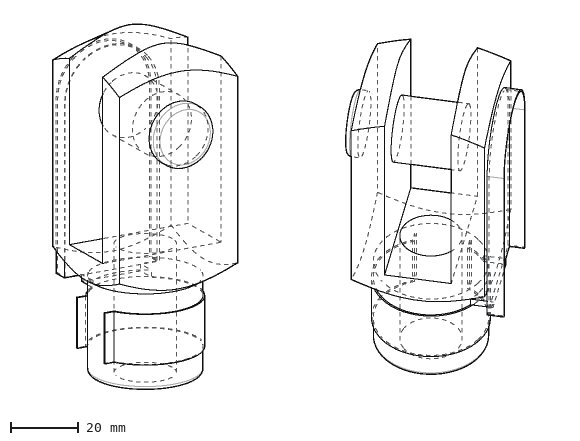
import cadquery as cq
import math


height = 105.0
fork_width = 40.0
slot_width = fork_width / 2
slot_floor = 40.0
cone_slope = math.tan(math.radians(30))

shank_diameter = 34.0
shank_radius = shank_diameter / 2
shank_top = 30.0
shank_edge_fillet = 1.3
bore_diameter = 18.4

pin_diameter = 20.0
pin_height = 80.0
pin_end_x = 23.9
pin_end_fillet = 1.5

sheet = 0.5
clip_width = 32.0
clip_depth = 5.0
clip_bottom = 26.0
tongue_width = 19.8
band_top = 23.8
band_bottom = 8.1
band_gap = 16.0
band_lip_reach = 18.4

fork_side_x = -fork_width / 2
clip_front_x = fork_side_x - clip_depth
web_front_x = fork_side_x - sheet


def box(x_range, y_range, z_range):
    """Box spanning the given (low, high) limits on each axis."""
    (x0, x1), (y0, y1), (z0, z1) = x_range, y_range, z_range
    return cq.Workplane("XY").box(x1 - x0, y1 - y0, z1 - z0, centered=False).translate((x0, y0, z0))


def centred(width):
    """Limits of a span centred on zero."""
    return (-width / 2, width / 2)


def make_fork():
    """Square fork whose two ends are turned to 30-degree cones, with the pin slot cut through."""
    square = box(centred(fork_width), centred(fork_width), (shank_top, height))
    turned_radius = fork_width
    crown_radius = slot_width / 2
    lower_rise = (turned_radius - shank_radius) * cone_slope
    upper_drop = (turned_radius - crown_radius) * cone_slope
    turned = (
        cq.Workplane("XZ")
        .moveTo(0, shank_top)
        .lineTo(shank_radius, shank_top)
        .lineTo(turned_radius, shank_top + lower_rise)
        .lineTo(turned_radius, height - upper_drop)
        .lineTo(crown_radius, height)
        .lineTo(0, height)
        .close()
        .revolve(360, (0, 0, 0), (0, 1, 0))
    )
    slot = box(centred(slot_width), centred(fork_width), (slot_floor, height))
    return square.intersect(turned).cut(slot)


def make_shank():
    """Round shank with a rounded lower edge."""
    cylinder = cq.Workplane("XY").circle(shank_radius).extrude(shank_top)
    return cylinder.faces("<Z").edges().fillet(shank_edge_fillet)


def make_bore():
    """Bore from the shank end up into the slot."""
    return cq.Workplane("XY").circle(bore_diameter / 2).extrude(slot_floor)


def make_pin():
    """Pin from the clip web across both fork arms, rounded at its free end."""
    return (
        cq.Workplane("YZ", origin=(web_front_x, 0, 0))
        .center(0, pin_height)
        .circle(pin_diameter / 2)
        .extrude(pin_end_x - web_front_x)
        .faces(">X")
        .edges()
        .fillet(pin_end_fillet)
    )


def arched_plate(inset, x_start, x_end):
    """Round-topped plate about the pin axis, inset from the clip outline at its sides and top."""
    radius = clip_width / 2 - inset
    return (
        cq.Workplane("YZ", origin=(x_start, 0, 0))
        .moveTo(-radius, clip_bottom)
        .lineTo(-radius, pin_height)
        .threePointArc((0, pin_height + radius), (radius, pin_height))
        .lineTo(radius, clip_bottom)
        .close()
        .extrude(x_end - x_start)
    )


def make_clip_channel():
    """Thin web against the fork with a flange around its sides and top, open at the bottom."""
    outside = arched_plate(0, clip_front_x, fork_side_x)
    recess = arched_plate(sheet, clip_front_x, web_front_x)
    return outside.cut(recess)


def make_tongue():
    """Tongue joining the clip web to the shank above the band."""
    return box((web_front_x, 0), centred(tongue_width), (band_top, clip_bottom))


def make_band():
    """Band around the shank, open toward -Y, with a straight lip at each end of the gap."""
    band_radius = shank_radius + sheet
    band_height = band_top - band_bottom
    z_range = (band_bottom, band_top)
    band = cq.Workplane("XY", origin=(0, 0, band_bottom)).circle(band_radius).extrude(band_height)
    band = band.cut(box(centred(band_gap), (-band_radius, 0), z_range))
    lip = box((band_gap / 2, band_gap / 2 + sheet), (-band_lip_reach, 0), z_range)
    return band.union(lip).union(lip.mirror("YZ"))


body = make_fork().union(make_shank()).union(make_pin())
clip = make_clip_channel().union(make_tongue()).union(make_band())
result = body.union(clip).cut(make_bore())